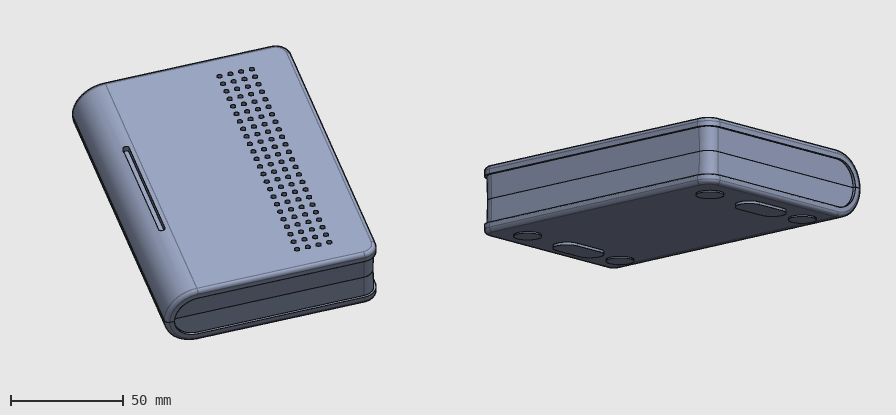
import cadquery as cq
import math

length = 140.0
depth = 100.1
half_height = 15.3
corner_radius = 7.3
edge_fillet = 2.0
outer_draft = 1.0

lip_height = 4.2
recess_depth = 1.5
recess_draft = -1.5

wall = 2.8

vent_diameter = 2.2
vent_columns = 24
vent_rows = 4
vent_span_x = 115.0
vent_span_y = 15.0
vent_center_y = 22.5

slot_length = 55.7
slot_width = 2.8
slot_y = -38.2

foot_x = 55.0
foot_width = 12.5
round_foot_ys = (33.3, -27.3)
round_foot_height = 0.7
long_foot_length = 27.5
long_foot_height = 1.3

front_y = -depth / 2
rear_y = depth / 2
nose_y = front_y + half_height


def side_profile(inset):
    """Upper half of the round-nosed side profile, drawn in from the case by inset.

    It runs past the sides and the rear, so that only the plan outline ends it there.
    """
    beyond_rear = 2 * rear_y
    radius = half_height - inset
    diagonal = radius * math.sqrt(0.5)
    return (
        cq.Workplane("YZ")
        .moveTo(beyond_rear, 0)
        .lineTo(nose_y - radius, 0)
        .threePointArc((nose_y - diagonal, diagonal), (nose_y, radius))
        .lineTo(beyond_rear, radius)
        .close()
        .extrude(length, both=True)
    )


def plan_block(inset, draft):
    """Upright block with rounded rear corners, standing in from the case sides and rear by inset.

    The block overshoots the front, where the rounded side profile ends the case instead.
    """
    half_x = length / 2 - inset
    rear = rear_y - inset
    front = front_y - 2 * corner_radius
    radius = corner_radius - inset
    outline = (
        cq.Workplane("XY")
        .moveTo(-half_x, front)
        .lineTo(half_x, front)
        .lineTo(half_x, rear - radius)
        .radiusArc((half_x - radius, rear), -radius)
        .lineTo(radius - half_x, rear)
        .radiusArc((-half_x, rear - radius), -radius)
        .close()
    )
    return outline.extrude(half_height, taper=draft)


def half_shell():
    """Hollow upper half of the case, open at the parting plane z = 0."""
    outer = side_profile(0).intersect(plan_block(0, outer_draft))
    top_edges = outer.edges(">Z").edges("not <Y")
    nose_edges = outer.edges("%ELLIPSE")
    outer = outer.newObject(top_edges.vals() + nose_edges.vals()).fillet(edge_fillet)

    recess_zone = side_profile(lip_height)
    recess = recess_zone.cut(plan_block(recess_depth, recess_draft))

    cavity = side_profile(wall).intersect(plan_block(recess_depth + wall, 0))
    return outer.cut(recess).cut(cavity)


def vent_holes():
    """Grid of round holes through the top wall."""
    return (
        cq.Workplane("XY")
        .workplane(offset=half_height - 2 * wall)
        .center(0, vent_center_y)
        .rarray(vent_span_x / (vent_columns - 1), vent_span_y / (vent_rows - 1), vent_columns, vent_rows)
        .circle(vent_diameter / 2)
        .extrude(4 * wall)
    )


def front_slot():
    """Upright round-ended slot through the wall, just where the top starts to curve down to the front."""
    return (
        cq.Workplane("XY")
        .workplane(offset=half_height - 3 * wall)
        .center(0, slot_y)
        .slot2D(slot_length, slot_width)
        .extrude(4 * wall)
    )


def foot(x, y, extra_length, height):
    """Foot of the common width under the bottom; extra_length stretches it along Y."""
    base = cq.Workplane("XY").workplane(offset=-half_height - height).center(x, y)
    if extra_length > 0:
        outline = base.slot2D(foot_width + extra_length, foot_width, 90)
    else:
        outline = base.circle(foot_width / 2)
    return outline.extrude(height + wall / 2)


upper_case = half_shell().cut(vent_holes()).cut(front_slot())

lower_case = half_shell().mirror("XY")
for x in (-foot_x, foot_x):
    for y in round_foot_ys:
        lower_case = lower_case.union(foot(x, y, 0, round_foot_height))
    lower_case = lower_case.union(foot(x, 0, long_foot_length - foot_width, long_foot_height))

result = cq.Compound.makeCompound([upper_case.solids().val(), lower_case.solids().val()])